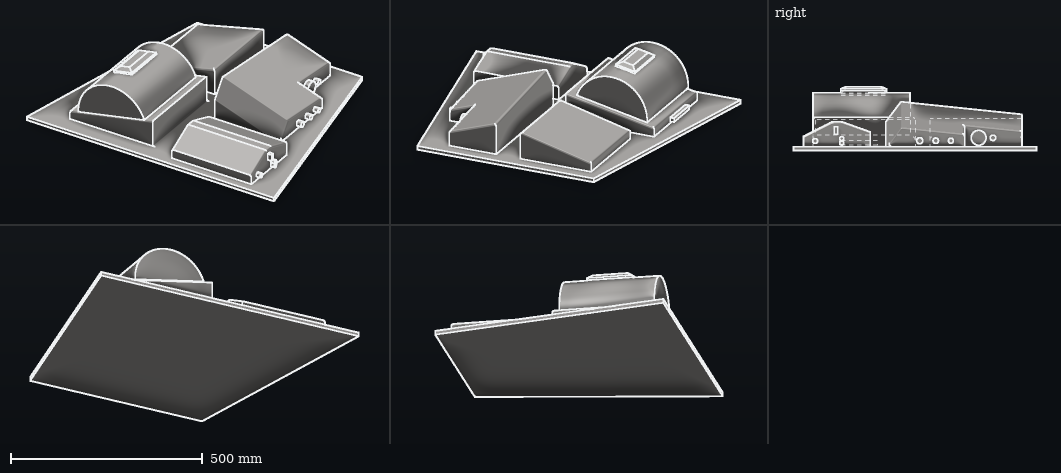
import cadquery as cq
import math

PLATE_FRONT_WIDTH = 762.0
PLATE_BACK_WIDTH = 508.0
PLATE_DEPTH = 635.0
PLATE_THICKNESS = 11.0

EDGE_FILLET = 6.3

WEDGE_RIGHT = -25.0
WEDGE_LOW = 25.0
WEDGE_HIGH = 76.0

DRUM_WEDGE_LEFT = -280.0
DRUM_WEDGE_FRONT = -267.0
DRUM_WEDGE_BACK = 0.0
DRUM_WEDGE_SLOPE = (WEDGE_HIGH - WEDGE_LOW) / (WEDGE_RIGHT - DRUM_WEDGE_LEFT)

DRUM_RADIUS = 104.5
DRUM_CENTER_X = -149.0
DRUM_CENTER_Z = 36.5
DRUM_BACK = -13.0

HANDLE_WIDTH = 56.5
HANDLE_LENGTH = 120.5
HANDLE_SIDE_HEIGHT = 5.0
HANDLE_BEVEL_HEIGHT = 8.5
HANDLE_BEVEL_RUN = 14.0
HANDLE_CENTER_X = -161.5
HANDLE_CENTER_Y = -134.0
HANDLE_SINK = 1.0

LATCH_REACH = 11.5
LATCH_LENGTH = 95.0
LATCH_HEIGHT = 11.0
LATCH_BOTTOM = 5.0
LATCH_CENTER_Y = -146.0

PLAIN_WEDGE_LEFT = -229.0
PLAIN_WEDGE_FRONT = 38.0
PLAIN_WEDGE_BACK = 280.0

HOUSING_LEFT = 44.0
HOUSING_STEP_X = 180.0
HOUSING_RIGHT = 248.5
HOUSING_FRONT = -76.0
HOUSING_RIDGE_Y = -36.5
HOUSING_STEP_Y = 129.5
HOUSING_BACK = 280.0
HOUSING_FRONT_HEIGHT = 67.0
HOUSING_RIDGE_HEIGHT = 120.0
HOUSING_BACK_HEIGHT = 87.0
HOUSING_SIDE_FALL = 0.345

CONSOLE_LEFT = 49.5
CONSOLE_RIGHT = 295.0
CONSOLE_FRONT = -291.0
CONSOLE_BACK = -116.5
CONSOLE_FRONT_HEIGHT = 27.0
CONSOLE_TOP_HEIGHT = 65.0
CONSOLE_BACK_HEIGHT = 38.0
CONSOLE_TOP_FRONT = -216.0
CONSOLE_TOP_BACK = -191.0

HOUSING_CONTROL_REACH = 14.0
STEP_FACE_CONTROLS = [(203.5, 23.0, 14.5), (166.0, 23.0, 39.0)]
RIGHT_FACE_CONTROLS = [(94.0, 15.0, 13.0), (54.0, 15.0, 14.5), (12.0, 15.0, 16.0)]
CONSOLE_CONTROL_REACH = 11.5
CONSOLE_CONTROLS = [(-260.5, 14.5, 13.0), (-191.0, 20.5, 11.0), (-191.0, 9.0, 11.0)]

ROCKER_WIDTH = 9.0
ROCKER_HEIGHT = 18.0
ROCKER_CENTER_Y = -206.0
ROCKER_CENTER_Z = 42.0


def side_prism(points, near_x, sweep):
    """Solid from a (Y, Z) outline at X = near_x, carried along the sweep vector."""
    outline = [cq.Vector(near_x, y, z) for y, z in points]
    wire = cq.Wire.makePolygon(outline, close=True)
    return cq.Workplane(cq.Solid.extrudeLinear(wire, [], cq.Vector(*sweep)))


def wedge(left, front, back):
    """Block from WEDGE_LOW at its left side up to WEDGE_HIGH at WEDGE_RIGHT."""
    profile = [(left, 0), (WEDGE_RIGHT, 0), (WEDGE_RIGHT, WEDGE_HIGH), (left, WEDGE_LOW)]
    return cq.Workplane("XZ", origin=(0, back, 0)).polyline(profile).close().extrude(back - front)


def add_controls(body, face_x, reach, controls):
    """Add round controls that stand out of the face at face_x."""
    for y, z, diameter in controls:
        face = cq.Workplane("YZ", origin=(face_x, y, z))
        body = body.union(face.circle(diameter / 2).extrude(reach))
    return body


def make_drum():
    """Cylinder cut off along the wedge's sloping face, up to the wedge's square front edge."""
    cylinder = (
        cq.Workplane("XZ", origin=(DRUM_CENTER_X, DRUM_BACK, DRUM_CENTER_Z))
        .circle(DRUM_RADIUS)
        .extrude(DRUM_BACK - DRUM_WEDGE_FRONT)
    )
    reach = 2 * DRUM_RADIUS
    left, right = DRUM_CENTER_X - reach, DRUM_CENTER_X + reach
    face_heights = [WEDGE_LOW + DRUM_WEDGE_SLOPE * (x - DRUM_WEDGE_LEFT) for x in (left, right)]
    below_face = [(left, -reach), (right, -reach), (right, face_heights[1]), (left, face_heights[0])]
    cutter = cq.Workplane("XZ", origin=(0, DRUM_BACK, 0)).polyline(below_face).close()
    return cylinder.cut(cutter.extrude(DRUM_BACK - DRUM_WEDGE_FRONT))


def make_handle():
    """Bevelled block set slightly into the drum, its base parallel to the wedge face."""
    tilt = math.atan(DRUM_WEDGE_SLOPE)
    seat_distance = DRUM_RADIUS - HANDLE_SINK
    seat_height = seat_distance / math.cos(tilt) + (HANDLE_CENTER_X - DRUM_CENTER_X) * DRUM_WEDGE_SLOPE
    seat = cq.Plane(
        origin=(HANDLE_CENTER_X, HANDLE_CENTER_Y, DRUM_CENTER_Z + seat_height),
        xDir=(math.cos(tilt), 0, math.sin(tilt)),
        normal=(-math.sin(tilt), 0, math.cos(tilt)),
    )
    height = HANDLE_SIDE_HEIGHT + HANDLE_BEVEL_HEIGHT
    handle = cq.Workplane(seat).rect(HANDLE_WIDTH, HANDLE_LENGTH).extrude(height)
    top_face = handle.faces(cq.selectors.DirectionMinMaxSelector(seat.zDir, True))
    beveled = handle.val().chamfer(HANDLE_BEVEL_HEIGHT, HANDLE_BEVEL_RUN, top_face.edges().vals())
    return cq.Workplane(beveled)


def make_latch():
    """Bar on the low face; its inner half is buried in the wedge."""
    return cq.Workplane(origin=(DRUM_WEDGE_LEFT, LATCH_CENTER_Y, LATCH_BOTTOM)).box(
        2 * LATCH_REACH, LATCH_LENGTH, LATCH_HEIGHT, centered=(True, True, False)
    )


def make_base():
    """Plate with the drum wedge formed on it."""
    plate_outline = [
        (-PLATE_FRONT_WIDTH / 2, -PLATE_DEPTH / 2),
        (PLATE_FRONT_WIDTH / 2, -PLATE_DEPTH / 2),
        (PLATE_BACK_WIDTH / 2, PLATE_DEPTH / 2),
        (-PLATE_BACK_WIDTH / 2, PLATE_DEPTH / 2),
    ]
    plate = cq.Workplane().polyline(plate_outline).close().extrude(-PLATE_THICKNESS)
    base = plate.union(wedge(DRUM_WEDGE_LEFT, DRUM_WEDGE_FRONT, DRUM_WEDGE_BACK))

    middle_x = (DRUM_WEDGE_LEFT + WEDGE_RIGHT) / 2
    middle_y = (DRUM_WEDGE_FRONT + DRUM_WEDGE_BACK) / 2
    middle_z = (WEDGE_LOW + WEDGE_HIGH) / 2
    edge_middles = [
        (DRUM_WEDGE_LEFT, middle_y, WEDGE_LOW),
        (middle_x, DRUM_WEDGE_FRONT, middle_z),
        (middle_x, DRUM_WEDGE_BACK, middle_z),
        (WEDGE_RIGHT, middle_y, 0),
    ]
    rounded = [base.edges(cq.selectors.NearestToPointSelector(p)).val() for p in edge_middles]
    base = cq.Workplane(base.val().fillet(EDGE_FILLET, rounded))
    return base.union(make_drum()).union(make_handle()).union(make_latch())


def make_plain_wedge():
    """Wedge with all four edges of its sloping face rounded."""
    block = wedge(PLAIN_WEDGE_LEFT, PLAIN_WEDGE_FRONT, PLAIN_WEDGE_BACK)
    return block.faces("not(|X or |Y or |Z)").edges().fillet(EDGE_FILLET)


def make_housing():
    """L-shaped walls under a roof profile swept along the sideways fall."""
    footprint = [
        (HOUSING_LEFT, HOUSING_FRONT),
        (HOUSING_RIGHT, HOUSING_FRONT),
        (HOUSING_RIGHT, HOUSING_STEP_Y),
        (HOUSING_STEP_X, HOUSING_STEP_Y),
        (HOUSING_STEP_X, HOUSING_BACK),
        (HOUSING_LEFT, HOUSING_BACK),
    ]
    walls = cq.Workplane().polyline(footprint).close().extrude(HOUSING_RIDGE_HEIGHT)

    span = HOUSING_RIGHT - HOUSING_LEFT
    side_drop = HOUSING_SIDE_FALL * span
    roof_profile = [
        (HOUSING_FRONT, 0),
        (HOUSING_FRONT, HOUSING_FRONT_HEIGHT),
        (HOUSING_RIDGE_Y, HOUSING_RIDGE_HEIGHT),
        (HOUSING_BACK, HOUSING_BACK_HEIGHT),
        (HOUSING_BACK, 0),
    ]
    roof = side_prism(roof_profile, HOUSING_LEFT, (span, 0, -side_drop))
    housing = walls.intersect(roof)
    front_corners = housing.edges("|Z").edges("<Y")
    sloping_faces = housing.faces("not(|X or |Y or |Z)")
    housing = sloping_faces.edges().add(front_corners).fillet(EDGE_FILLET)
    housing = add_controls(housing, HOUSING_STEP_X, HOUSING_CONTROL_REACH, STEP_FACE_CONTROLS)
    return add_controls(housing, HOUSING_RIGHT, HOUSING_CONTROL_REACH, RIGHT_FACE_CONTROLS)


def make_console():
    """Ridged bar with the sloping edges of both ends rounded, and its controls."""
    profile = [
        (CONSOLE_FRONT, 0),
        (CONSOLE_FRONT, CONSOLE_FRONT_HEIGHT),
        (CONSOLE_TOP_FRONT, CONSOLE_TOP_HEIGHT),
        (CONSOLE_TOP_BACK, CONSOLE_TOP_HEIGHT),
        (CONSOLE_BACK, CONSOLE_BACK_HEIGHT),
        (CONSOLE_BACK, 0),
    ]
    console = side_prism(profile, CONSOLE_LEFT, (CONSOLE_RIGHT - CONSOLE_LEFT, 0, 0))
    console = console.faces("<X or >X").edges("not(|Z or <Z)").fillet(EDGE_FILLET)
    console = add_controls(console, CONSOLE_RIGHT, CONSOLE_CONTROL_REACH, CONSOLE_CONTROLS)
    rocker = cq.Workplane(origin=(CONSOLE_RIGHT, ROCKER_CENTER_Y, ROCKER_CENTER_Z)).box(
        2 * CONSOLE_CONTROL_REACH, ROCKER_WIDTH, ROCKER_HEIGHT
    )
    return console.union(rocker)


base = make_base()
plain_wedge = make_plain_wedge()
housing = make_housing()
console = make_console()

result = cq.Compound.makeCompound([base.val(), plain_wedge.val(), housing.val(), console.val()])